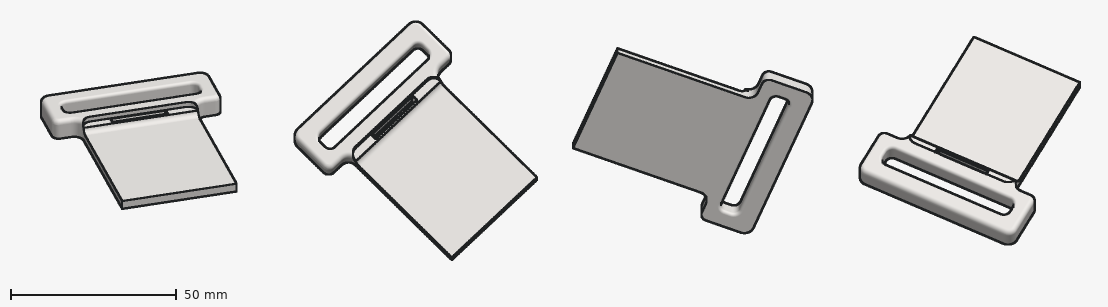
import cadquery as cq
import math

TOTAL_LENGTH = 61.0
HEAD_LENGTH = 16.5
HEAD_WIDTH = 53.0
HEAD_HEIGHT = 6.2
TONGUE_WIDTH = 36.0
TONGUE_THICKNESS = 2.8

FRONT_CORNER_RADIUS = 3.0
BACK_CORNER_RADIUS = 2.15
NECK_RADIUS = 3.0
TOP_EDGE_RADIUS = 1.5

SLOT_LENGTH = 6.0
SLOT_WIDTH = 43.0
SLOT_CENTER_X = 9.0
SLOT_CORNER_RADIUS = 2.0
SLOT_EDGE_RADIUS = 1.0

LEDGE_HEIGHT = 4.5
LEDGE_START_X = HEAD_LENGTH
LEDGE_END_X = HEAD_LENGTH + NECK_RADIUS
LEDGE_CORNER_RADIUS = 3.0
STEP_RADIUS = 2.0

POCKET_SETBACK = 0.35
POCKET_LENGTH = 1.8
POCKET_WIDTH = 17.5
POCKET_DEPTH = 2.1
POCKET_FRONT_SLOPE = 0.6
POCKET_END_SLOPE = 1.2


def make_blank():
    """T-shaped plate at full head height with every head edge rounded."""
    head = cq.Workplane("XY").box(HEAD_LENGTH, HEAD_WIDTH, HEAD_HEIGHT, centered=(False, True, False))
    tongue = cq.Workplane("XY").box(TOTAL_LENGTH, TONGUE_WIDTH, HEAD_HEIGHT, centered=(False, True, False))
    upright_edges = (
        (0, HEAD_WIDTH / 2, FRONT_CORNER_RADIUS),
        (HEAD_LENGTH, HEAD_WIDTH / 2, BACK_CORNER_RADIUS),
        (HEAD_LENGTH, TONGUE_WIDTH / 2, NECK_RADIUS),
    )
    blank = head.union(tongue)
    for x, y, radius in upright_edges:
        for side in (-1, 1):
            point = (x, side * y, HEAD_HEIGHT / 2)
            blank = blank.edges(cq.selectors.NearestToPointSelector(point)).fillet(radius)
    return blank.faces(">Z").edges().fillet(TOP_EDGE_RADIUS)


def cut_strap_slot(body):
    """Rounded rectangular slot with rounded upper and lower rims."""
    slot = (
        cq.Workplane("XY")
        .center(SLOT_CENTER_X, 0)
        .rect(SLOT_LENGTH, SLOT_WIDTH)
        .extrude(HEAD_HEIGHT)
        .edges("|Z")
        .fillet(SLOT_CORNER_RADIUS)
    )
    reach_x = SLOT_LENGTH / 2 + SLOT_EDGE_RADIUS
    reach_y = SLOT_WIDTH / 2 + SLOT_EDGE_RADIUS
    slot_zone = cq.selectors.BoxSelector(
        (SLOT_CENTER_X - reach_x, -reach_y, -SLOT_EDGE_RADIUS),
        (SLOT_CENTER_X + reach_x, reach_y, HEAD_HEIGHT + SLOT_EDGE_RADIUS),
        boundingbox=True,
    )
    return body.cut(slot).faces("<Z or >Z").edges(slot_zone).fillet(SLOT_EDGE_RADIUS)


def make_ledge_clearance():
    """Space above the ledge, with rounded corners against the head."""
    return (
        cq.Workplane("XY", origin=(LEDGE_START_X, 0, LEDGE_HEIGHT))
        .box(TOTAL_LENGTH, TONGUE_WIDTH, HEAD_HEIGHT, centered=(False, True, False))
        .edges("|Z and <X")
        .fillet(LEDGE_CORNER_RADIUS)
    )


def make_tongue_clearance():
    """Space above the tongue, curving up to the ledge."""
    arc_center_z = TONGUE_THICKNESS + STEP_RADIUS
    rise = arc_center_z - LEDGE_HEIGHT
    arc_center_x = LEDGE_END_X + math.sqrt(STEP_RADIUS**2 - rise**2)
    diagonal = STEP_RADIUS / math.sqrt(2)
    arc_middle = (arc_center_x - diagonal, arc_center_z - diagonal)
    return (
        cq.Workplane("XZ")
        .moveTo(LEDGE_END_X, LEDGE_HEIGHT)
        .threePointArc(arc_middle, (arc_center_x, TONGUE_THICKNESS))
        .lineTo(TOTAL_LENGTH, TONGUE_THICKNESS)
        .lineTo(TOTAL_LENGTH, LEDGE_HEIGHT)
        .close()
        .extrude(TONGUE_WIDTH, both=True)
    )


def make_pocket():
    """Pocket narrowing toward its floor at the front and at both ends."""
    floor_length = POCKET_LENGTH - POCKET_FRONT_SLOPE
    floor_width = POCKET_WIDTH - 2 * POCKET_END_SLOPE
    center_x = LEDGE_START_X + POCKET_SETBACK + POCKET_LENGTH / 2
    return (
        cq.Workplane("XY", origin=(0, 0, LEDGE_HEIGHT))
        .center(center_x, 0)
        .rect(POCKET_LENGTH, POCKET_WIDTH)
        .workplane(offset=-POCKET_DEPTH)
        .center(POCKET_FRONT_SLOPE / 2, 0)
        .rect(floor_length, floor_width)
        .loft(ruled=True)
    )


body = cut_strap_slot(make_blank())
body = body.cut(make_ledge_clearance())
body = body.cut(make_tongue_clearance())
result = body.cut(make_pocket())